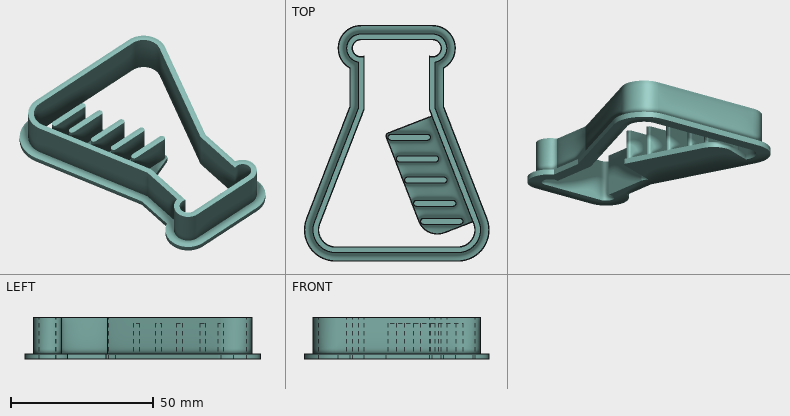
import cadquery as cq
import math

total_width = 64.93
total_length = 82.88
total_height = 14.7

flange_thickness = 1.9
flange_overhang = 3.0
wall_thickness = 2.0

body_corner_radius = 8.0
lip_radius = 5.0
lip_center_x = 12.6
neck_half_width = 13.45
shoulder_y = 12.4

body_center_x = total_width / 2 - flange_overhang - body_corner_radius
body_center_y = -total_length / 2 + flange_overhang + body_corner_radius
lip_center_y = total_length / 2 - flange_overhang - lip_radius

shoulder_run = body_center_x - neck_half_width
shoulder_drop = shoulder_y - body_center_y
side_angle = math.atan2(shoulder_run, shoulder_drop) + math.asin(
    body_corner_radius / math.hypot(shoulder_run, shoulder_drop)
)

plate_upper_y = 10.35
plate_length = 39.9
plate_width = 19.7
plate_upper_radius = 1.2
plate_lower_radius = 7.0

mark_length = 14.9
mark_width = 2.1
mark_height = 10.6
first_mark_x = 4.38
mark_levels = (2.13, -5.46, -12.93, -21.1, -27.43)


def flask_prism(offset, height):
    """Extrude the wall outline grown outward by offset (negative shrinks it)."""
    corner = body_corner_radius + offset
    lip = lip_radius + offset
    neck_x = neck_half_width + offset
    neck_top_y = lip_center_y - math.sqrt(lip**2 - (neck_x - lip_center_x) ** 2)
    neck_bottom_y = shoulder_y + offset * math.tan(side_angle / 2)

    bottom_y = body_center_y - corner
    tangent_x = body_center_x + corner * math.cos(side_angle)
    tangent_y = body_center_y + corner * math.sin(side_angle)
    middle_angle = (side_angle - math.pi / 2) / 2
    middle_x = body_center_x + corner * math.cos(middle_angle)
    middle_y = body_center_y + corner * math.sin(middle_angle)

    return (
        cq.Workplane("XY")
        .moveTo(-body_center_x, bottom_y)
        .lineTo(body_center_x, bottom_y)
        .threePointArc((middle_x, middle_y), (tangent_x, tangent_y))
        .lineTo(neck_x, neck_bottom_y)
        .lineTo(neck_x, neck_top_y)
        .threePointArc((lip_center_x + lip, lip_center_y), (lip_center_x, lip_center_y + lip))
        .lineTo(-lip_center_x, lip_center_y + lip)
        .threePointArc((-lip_center_x - lip, lip_center_y), (-neck_x, neck_top_y))
        .lineTo(-neck_x, neck_bottom_y)
        .lineTo(-tangent_x, tangent_y)
        .threePointArc((-middle_x, middle_y), (-body_center_x, bottom_y))
        .close()
        .extrude(height)
    )


def make_rim():
    flange = flask_prism(flange_overhang, flange_thickness)
    wall = flask_prism(0, total_height)
    return flange.union(wall).cut(flask_prism(-wall_thickness, total_height))


def make_plate():
    """Plate whose right edge lies on the outer face of the sloping wall."""
    edge_x = neck_half_width + (shoulder_y - plate_upper_y) * math.tan(side_angle)
    return (
        cq.Workplane("XY")
        .box(plate_width, plate_length, flange_thickness, centered=False)
        .translate((-plate_width, -plate_length, 0))
        .edges("|Z and <X and >Y")
        .fillet(plate_upper_radius)
        .edges("|Z and <X and <Y")
        .fillet(plate_lower_radius)
        .rotate((0, 0, 0), (0, 0, 1), math.degrees(side_angle))
        .translate((edge_x, plate_upper_y, 0))
    )


def make_marks():
    centers = [(first_mark_x + (mark_levels[0] - y) * math.tan(side_angle), y) for y in mark_levels]
    return (
        cq.Workplane("XY")
        .pushPoints(centers)
        .slot2D(mark_length, mark_width)
        .extrude(flange_thickness + mark_height)
    )


result = make_rim().union(make_plate()).union(make_marks())